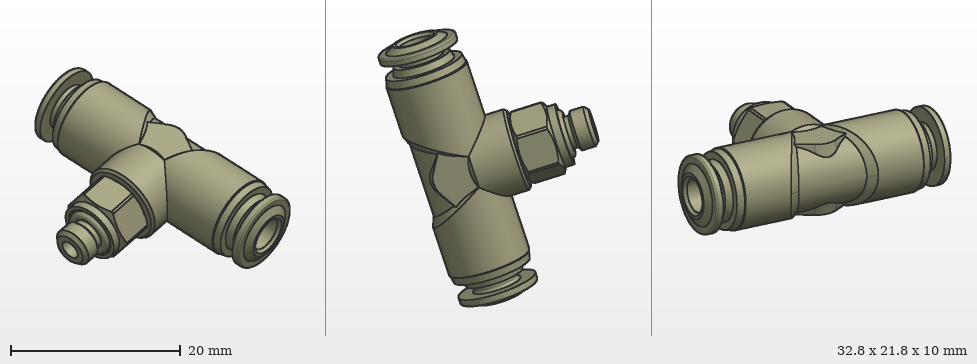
import cadquery as cq
import math

length = 32.8
half_length = length / 2
depth = 21.8
body_dia = 10.0
body_r = body_dia / 2
branch_end = depth - body_r

nose_r = 2.8
nose_cone_r = 3.8
flange_face = 0.62
flange_r = 4.8
flange_round = 0.23
flange_back = 1.55
flange_root_r = 2.95
neck_start = 2.05
neck_r = 2.75
seat_face = 2.5
seat_r = 3.5
seat_end_r = 3.8
sleeve_face = 3.4
sleeve_r = 4.72
body_face = 4.35
body_edge = 0.1
port_mouth_r = 2.4
port_bore_r = 2.05
port_mouth_depth = 0.43
port_bore_depth = 6.55

waist_r = 4.5
shoulder_outer_x = 3.05
shoulder_outer_lean = 0.56
shoulder_inner_x = 2.62
shoulder_inner_lean = 0.43
waist_front = 2.0

pad_z = 4.53
pad_peak_y = 3.4
pad_half_width = 3.95
pad_roof_angle = 31.0
pad_peak_round = 2.62
pad_draft = 15.0

branch_face = 7.58
branch_chamfer = 0.33
hex_flats = 8.0
hex_corner_r = 4.53
hex_turn = 30.0
hex_start = branch_face
hex_face_r = 3.75
hex_chamfer_angle = 30.0
washer_start = 12.25
washer_r = 3.75
washer_face = 13.25
washer_recess_r = 3.25
washer_recess_depth = 0.55
ring_outer_r = 3.0
ring_overlap = 0.03
relief_r = 1.97
relief_end = 14.3
thread_r = 2.45
thread_start = 14.65
tip_chamfer = 0.5
branch_bore_r = 1.18


def port_profile():
    """Half section of one end of the run, from the middle of the part to the -X face."""
    def at(inset, radius):
        return (inset - half_length, radius)

    return (
        cq.Workplane("XY")
        .moveTo(0, 0)
        .lineTo(0, body_r)
        .lineTo(*at(body_face + body_edge, body_r))
        .lineTo(*at(body_face, body_r - body_edge))
        .lineTo(*at(sleeve_face, sleeve_r))
        .lineTo(*at(sleeve_face, seat_end_r))
        .lineTo(*at(seat_face, seat_r))
        .lineTo(*at(seat_face, neck_r))
        .lineTo(*at(neck_start, neck_r))
        .tangentArcPoint(at(flange_back, flange_root_r), relative=False)
        .lineTo(*at(flange_back, flange_r))
        .lineTo(*at(flange_face + flange_round, flange_r))
        .tangentArcPoint(at(flange_face, flange_r - flange_round), relative=False)
        .lineTo(*at(flange_face, nose_cone_r))
        .lineTo(*at(0, nose_r))
        .lineTo(*at(0, port_mouth_r))
        .lineTo(*at(port_mouth_depth, port_bore_r))
        .lineTo(*at(port_bore_depth, port_bore_r))
        .lineTo(*at(port_bore_depth, 0))
        .close()
    )


def mirrored_pair(half):
    """A solid on the -X side together with its mirror image."""
    return half.union(half.mirror("YZ"))


def run_tube():
    return mirrored_pair(port_profile().revolve(360, (0, 0, 0), (1, 0, 0)))


def branch_sleeve():
    return (
        cq.Workplane("XZ")
        .circle(body_r)
        .extrude(branch_face)
        .faces("<Y")
        .chamfer(branch_chamfer)
    )


def slanted_section(axis_x, lean, radius):
    """Ellipse where a leaning plane cuts a cylinder of the given radius on the X axis."""
    stretch = math.hypot(1, lean)
    plane = cq.Plane(origin=(-axis_x, 0, 0), xDir=(-lean, 1, 0), normal=(1, lean, 0))
    return cq.Workplane(plane).ellipse(radius * stretch, radius).wire().val()


def shoulder():
    """Sloping wall from the full run tube down to the waist, on the -X side."""
    outer = slanted_section(shoulder_outer_x, shoulder_outer_lean, body_r)
    inner = slanted_section(shoulder_inner_x, shoulder_inner_lean, waist_r)
    return cq.Workplane(cq.Solid.makeLoft([outer, inner], True))


def pad():
    """Drafted block carrying the flat pad on top of the waist."""
    roof = math.radians(pad_roof_angle)
    corner_y = pad_peak_y - pad_half_width * math.tan(roof)
    round_x = pad_peak_round * math.sin(roof)
    round_y = pad_peak_y - round_x * math.tan(roof)
    round_top = round_y + pad_peak_round * (1 - math.cos(roof))
    return (
        cq.Workplane("XY", origin=(0, 0, pad_z))
        .moveTo(-pad_half_width, -waist_front)
        .lineTo(-pad_half_width, corner_y)
        .lineTo(-round_x, round_y)
        .threePointArc((0, round_top), (round_x, round_y))
        .lineTo(pad_half_width, corner_y)
        .lineTo(pad_half_width, -waist_front)
        .close()
        .extrude(-pad_z, taper=-pad_draft)
    )


def branch_revolve(points):
    """Solid of revolution about the Y axis from (radius, distance along -Y) points."""
    outline = [(radius, -distance) for radius, distance in points]
    return cq.Workplane("XY").polyline(outline).close().revolve(360, (0, 0, 0), (0, 1, 0))


def front_ramp():
    """45 degree conical ramp that narrows from the branch surface down to the pads."""
    ramp_end = waist_front - (body_r - pad_z)
    return branch_revolve([
        (0, waist_front),
        (body_r, waist_front),
        (pad_z, ramp_end),
        (0, ramp_end),
    ])


def both_faces(upper):
    """A solid on the +Z side together with its mirror image."""
    return upper.union(upper.mirror("XY"))


def waist_recess(pads):
    """Material removed between the shoulders, leaving the waist and the pads."""
    front_x = shoulder_outer_x - shoulder_outer_lean * waist_front
    rear_x = shoulder_outer_x + shoulder_outer_lean * body_dia
    wedge = (
        cq.Workplane("XY")
        .polyline([
            (-front_x, -waist_front),
            (front_x, -waist_front),
            (rear_x, body_dia),
            (-rear_x, body_dia),
        ])
        .close()
        .extrude(body_dia, both=True)
    )
    waist = cq.Workplane("YZ").circle(waist_r).extrude(body_r, both=True)
    return (
        wedge.cut(waist)
        .cut(mirrored_pair(shoulder()))
        .cut(pads)
        .cut(front_ramp())
    )


def hexagon():
    """Hexagon with flats facing Z, its corners trimmed round and chamfered at both ends."""
    prism = (
        cq.Workplane("XZ", origin=(0, -hex_start, 0))
        .polygon(6, hex_flats, circumscribed=True)
        .extrude(washer_start - hex_start)
        .rotate((0, 0, 0), (0, 1, 0), hex_turn)
    )
    chamfer = (hex_corner_r - hex_face_r) * math.tan(math.radians(hex_chamfer_angle))
    envelope = branch_revolve([
        (0, hex_start),
        (hex_face_r, hex_start),
        (hex_corner_r, hex_start + chamfer),
        (hex_corner_r, washer_start - chamfer),
        (hex_face_r, washer_start),
        (0, washer_start),
    ])
    return prism.intersect(envelope)


def threaded_stem():
    recess_floor = washer_face - washer_recess_depth
    return branch_revolve([
        (branch_bore_r, washer_start),
        (washer_r, washer_start),
        (washer_r, washer_face),
        (washer_recess_r, washer_face),
        (washer_recess_r, recess_floor),
        (relief_r, recess_floor),
        (relief_r, relief_end),
        (thread_r, thread_start),
        (thread_r, branch_end - tip_chamfer),
        (thread_r - tip_chamfer, branch_end),
        (branch_bore_r, branch_end),
    ])


def seal_ring():
    """O-ring lying in the washer recess, sunk slightly into the relief so they join."""
    ring_inner_r = relief_r - ring_overlap
    section_r = (ring_outer_r - ring_inner_r) / 2
    center_r = (ring_outer_r + ring_inner_r) / 2
    return (
        cq.Workplane("XY")
        .center(center_r, -washer_face)
        .circle(section_r)
        .revolve(360, (-center_r, 0, 0), (-center_r, 1, 0))
    )


pads = both_faces(pad())
body = run_tube().union(branch_sleeve()).cut(waist_recess(pads)).union(pads)
result = body.union(hexagon()).union(threaded_stem()).union(seal_ring())